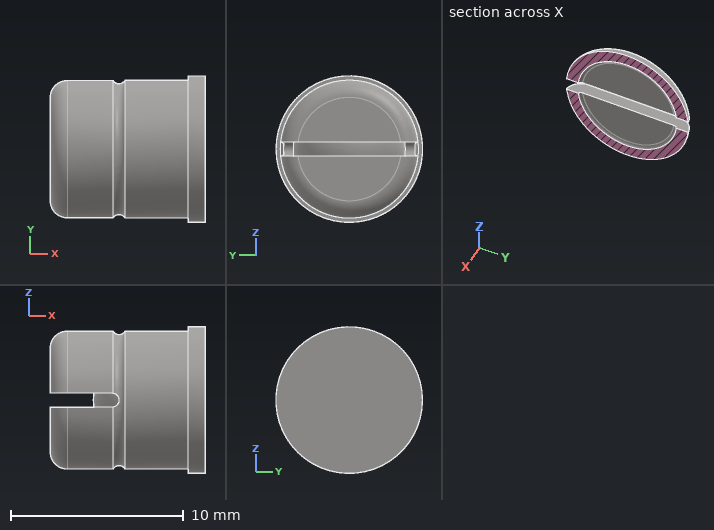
import cadquery as cq
import math

total_length = 9.0
body_diameter = 8.0
nose_radius = 1.0

flange_diameter = 8.5
flange_thickness = 1.0

groove_center_x = 4.0
groove_radius = 0.4
groove_depth = 0.2

slot_width = 0.8
slot_end_x = 4.0

cavity_diameter = 6.48
cavity_radius = cavity_diameter / 2
wall_thickness = body_diameter / 2 - cavity_radius
cavity_corner_radius = nose_radius - wall_thickness
dome_tip_x = 2.5
dome_base_x = dome_tip_x + cavity_radius


def make_body():
    """Cylinder with a rounded nose and a flange."""
    body = cq.Workplane("YZ").circle(body_diameter / 2).extrude(total_length)
    body = body.faces("<X").edges().fillet(nose_radius)
    flange = (
        cq.Workplane("YZ")
        .workplane(offset=total_length - flange_thickness)
        .circle(flange_diameter / 2)
        .extrude(flange_thickness)
    )
    return body.union(flange)


def make_groove():
    """Ring of circular section, partly sunk into the body surface."""
    ring_radius = body_diameter / 2 - groove_depth + groove_radius
    return (
        cq.Workplane("XY")
        .center(groove_center_x, ring_radius)
        .circle(groove_radius)
        .revolve(360, (0, -ring_radius), (1, -ring_radius))
    )


def make_dome():
    """Sphere of the bore radius; its front half is the cavity floor."""
    return cq.Workplane("XY").sphere(cavity_radius).translate((dome_base_x, 0, 0))


def make_cavity():
    """Bore around X with a rounded front corner and a hemispherical dome rising from its floor."""
    arc_offset = cavity_radius * math.sqrt(0.5)
    corner_offset = cavity_corner_radius * (1 - math.sqrt(0.5))
    return (
        cq.Workplane("XY")
        .moveTo(wall_thickness, 0)
        .lineTo(dome_tip_x, 0)
        .threePointArc((dome_base_x - arc_offset, arc_offset), (dome_base_x, cavity_radius))
        .lineTo(wall_thickness + cavity_corner_radius, cavity_radius)
        .threePointArc(
            (wall_thickness + corner_offset, cavity_radius - corner_offset),
            (wall_thickness, cavity_radius - cavity_corner_radius),
        )
        .close()
        .revolve(360, (0, 0), (1, 0))
    )


def make_slot():
    """Slot through the whole diameter that opens the cavity but leaves the dome whole."""
    straight_end_x = slot_end_x - slot_width / 2
    slot = (
        cq.Workplane("XZ")
        .moveTo(0, -slot_width / 2)
        .lineTo(straight_end_x, -slot_width / 2)
        .threePointArc((slot_end_x, 0), (straight_end_x, slot_width / 2))
        .lineTo(0, slot_width / 2)
        .close()
        .extrude(body_diameter / 2, both=True)
    )
    return slot.cut(make_dome())


result = make_body().cut(make_groove()).cut(make_cavity()).cut(make_slot())